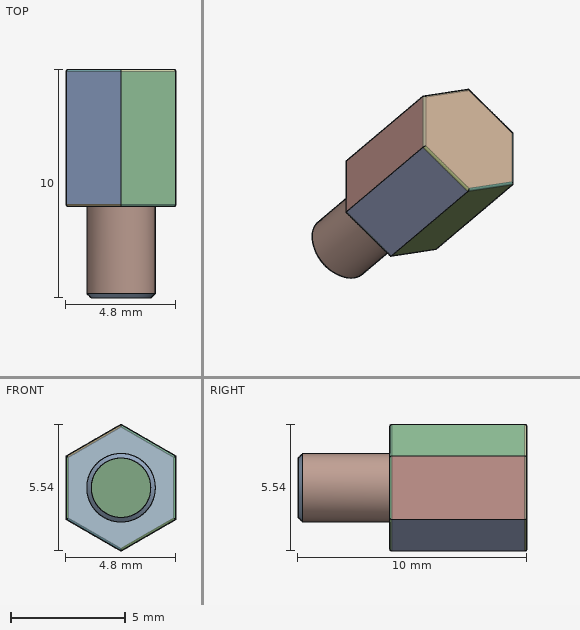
import cadquery as cq
import math

SIDE_COUNT = 6
ACROSS_FLATS = 4.8
BODY_LENGTH = 6.0
BODY_EDGE_RADIUS = 0.1
STUD_DIAMETER = 3.0
STUD_LENGTH = 4.0
STUD_CHAMFER = 0.2

ACROSS_CORNERS = ACROSS_FLATS / math.cos(math.pi / SIDE_COUNT)
HEX_CORNER_TURN = 90


def make_body():
    """Hexagonal prism from Y = 0 to Y = BODY_LENGTH, rounded around both ends."""
    prism = (
        cq.Workplane("XZ")
        .transformed(rotate=(0, 0, HEX_CORNER_TURN))
        .polygon(SIDE_COUNT, ACROSS_CORNERS)
        .extrude(-BODY_LENGTH)
    )
    return prism.faces("<Y or >Y").edges().fillet(BODY_EDGE_RADIUS)


def make_stud():
    """Cylinder from the body's Y = 0 face toward -Y, chamfered at its free end."""
    cylinder = cq.Workplane("XZ").circle(STUD_DIAMETER / 2).extrude(STUD_LENGTH)
    return cylinder.faces("<Y").edges().chamfer(STUD_CHAMFER)


result = make_body().union(make_stud())